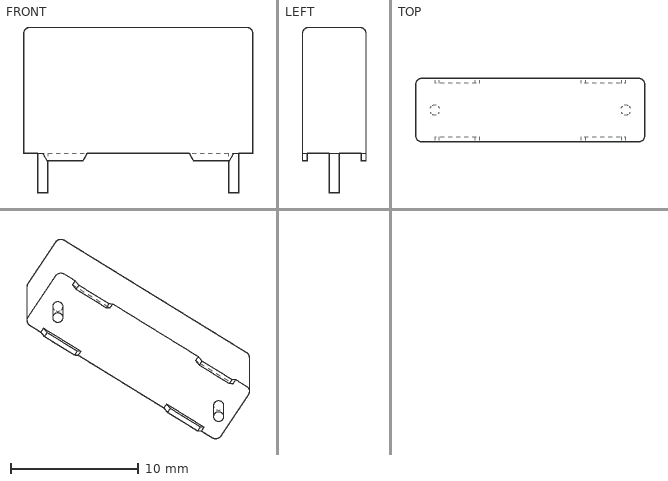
import cadquery as cq
import math

case_length = 18.0
case_width = 5.0
case_height = 9.9
edge_radius = 0.5

foot_height = 0.6
foot_thickness = 0.4
foot_root_length = 3.5
foot_end_gap = 1.51
foot_flank_angle = 30.0

lead_diameter = 0.8
lead_length = 3.1
lead_spacing = 15.0

foot_center_x = case_length / 2 - foot_end_gap - foot_root_length / 2
foot_center_y = (case_width - foot_thickness) / 2


def make_foot(center_x, center_y):
    """Trapezoidal foot hanging below the case, narrower at its lower end."""
    root_half = foot_root_length / 2
    tip_half = root_half - foot_height * math.tan(math.radians(foot_flank_angle))
    outline = [
        (-root_half, 0),
        (-tip_half, -foot_height),
        (tip_half, -foot_height),
        (root_half, 0),
    ]
    foot = cq.Workplane("XZ").polyline(outline).close().extrude(foot_thickness / 2, both=True)
    return foot.translate((center_x, center_y, 0))


def make_case():
    """Block with rounded upright and top edges, standing on four feet."""
    body = cq.Workplane("XY").box(
        case_length, case_width, case_height, centered=(True, True, False)
    )
    body = body.edges("|Z or >Z").fillet(edge_radius)
    for side_x in (-1, 1):
        for side_y in (-1, 1):
            body = body.union(make_foot(side_x * foot_center_x, side_y * foot_center_y))
    return body


def make_lead(center_x):
    """Straight round lead that meets the underside of the case."""
    return cq.Workplane("XY").center(center_x, 0).circle(lead_diameter / 2).extrude(-lead_length)


case = make_case()
leads = [make_lead(side * lead_spacing / 2) for side in (-1, 1)]

result = cq.Compound.makeCompound([case.solids().val(), *[lead.val() for lead in leads]])